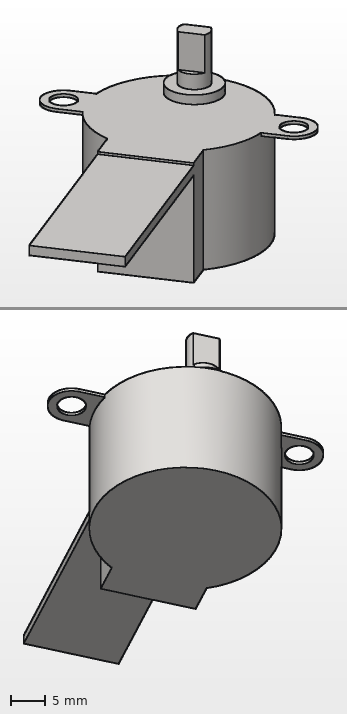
import cadquery as cq

body_diameter = 28.0
body_height = 19.0
body_radius = body_diameter / 2

overall_width = 42.0
ear_width = 7.0
ear_thickness = 0.5
ear_hole_diameter = 4.2
ear_hole_spacing = overall_width - ear_width

overall_length = 66
box_width = 14.6
box_reach = 16.95
strip_thickness = 1.6
strip_drop = 0.4
strip_reach = overall_length - body_radius

overall_height = 29.0
shaft_offset = 8.0
boss_diameter = 9.0
boss_height = 1.5
shaft_diameter = 5.0
flats_length = 6.0
flats_thickness = 3.0
shaft_height = overall_height - body_height


def make_body():
    can = cq.Workplane("XY").circle(body_radius).extrude(body_height)
    box = cq.Workplane("XY").box(box_width, box_reach, body_height, centered=(True, False, False))
    return can.union(box.translate((0, -box_reach, 0)))


def make_ears():
    plate = (
        cq.Workplane("XY")
        .workplane(offset=body_height - ear_thickness)
        .slot2D(overall_width, ear_width)
        .extrude(ear_thickness)
    )
    return plate


def make_ear_holes():
    return (
        cq.Workplane("XY")
        .pushPoints([(-ear_hole_spacing / 2, 0), (ear_hole_spacing / 2, 0)])
        .circle(ear_hole_diameter / 2)
        .extrude(body_height)
    )


def make_strip():
    strip = cq.Workplane("XY").box(
        box_width, strip_reach, strip_thickness, centered=(True, False, False)
    )
    return strip.translate((0, -strip_reach, body_height - strip_drop - strip_thickness))


def make_shaft():
    base = cq.Workplane("XY").workplane(offset=body_height).center(0, shaft_offset)
    boss = base.circle(boss_diameter / 2).extrude(boss_height)
    round_part = base.circle(shaft_diameter / 2).extrude(shaft_height - flats_length)
    flat_part = (
        base.circle(shaft_diameter / 2)
        .extrude(shaft_height)
        .intersect(base.rect(shaft_diameter, flats_thickness).extrude(shaft_height))
    )
    return boss.union(round_part).union(flat_part)


result = (
    make_body()
    .union(make_strip())
    .union(make_shaft())
    .union(make_ears().cut(make_ear_holes()))
)